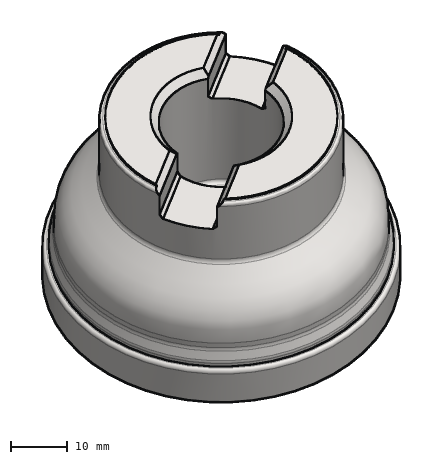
import cadquery as cq
import math

base_radius = 31.5
total_height = 40.0

base_height = 8.2
base_top_round = 0.75
base_bottom_round = 0.6
through_hole_diameter = 10.5

skirt_radius = 30.4
skirt_line_height = 8.95
skirt_cone_bottom = 9.5
skirt_cone_top = 11.2
band_radius = 29.5
band_bottom = 12.0
band_top = 13.1
dome_waist_radius = 29.25
dome_waist_height = 16.45
dome_shoulder_radius = 27.9
dome_shoulder_height = 19.15
neck_radius = 43.0 / 2
neck_blend_bottom = 25.1
neck_blend_top = 26.0
dome_top_angle = math.radians(45)
rim_round = 0.6
rim_ledge_radius = 20.4
rim_step = 0.25

bore_radius = 22.0 / 2
bore_floor = 12.6
bore_floor_round = 0.75
bore_chamfer = 1.45

slot_width = 10.45
slot_floor = 33.5
slot_floor_chamfer = 0.7
slot_chamfer = 1.15


def make_base():
    disc = cq.Workplane("XY").circle(base_radius).extrude(base_height)
    disc = disc.faces(">Z").edges().fillet(base_top_round)
    disc = disc.faces("<Z").edges().fillet(base_bottom_round)
    return disc.faces("<Z").workplane().hole(through_hole_diameter)


def make_housing_blank():
    lower_blend = skirt_cone_bottom - skirt_line_height
    upper_blend = band_bottom - skirt_cone_top
    cone_height = skirt_cone_top - skirt_cone_bottom
    slope = (skirt_radius - band_radius) / (cone_height + (lower_blend + upper_blend) / 2)
    cone_bottom_radius = skirt_radius - lower_blend * slope / 2
    cone_top_radius = band_radius + upper_blend * slope / 2
    cone_angle = math.atan(slope)

    neck_blend_radius = (neck_blend_top - neck_blend_bottom) / math.sin(dome_top_angle)
    dome_top_radius = neck_radius + neck_blend_radius * (1 - math.cos(dome_top_angle))

    ledge_height = total_height - rim_step
    outline = (
        cq.Workplane("XZ")
        .moveTo(0, base_height)
        .lineTo(skirt_radius, base_height)
        .lineTo(skirt_radius, skirt_line_height)
        .radiusArc((cone_bottom_radius, skirt_cone_bottom), -lower_blend / math.sin(cone_angle))
        .lineTo(cone_top_radius, skirt_cone_top)
        .radiusArc((band_radius, band_bottom), upper_blend / math.sin(cone_angle))
        .lineTo(band_radius, band_top)
        .spline(
            [
                (dome_waist_radius, dome_waist_height),
                (dome_shoulder_radius, dome_shoulder_height),
                (dome_top_radius, neck_blend_bottom),
            ],
            tangents=[(0, 1), (-math.sin(dome_top_angle), math.cos(dome_top_angle))],
            includeCurrent=True,
        )
        .radiusArc((neck_radius, neck_blend_top), neck_blend_radius)
        .lineTo(neck_radius, ledge_height - rim_round)
        .radiusArc((neck_radius - rim_round, ledge_height), -rim_round)
        .lineTo(rim_ledge_radius, ledge_height)
        .lineTo(rim_ledge_radius, total_height)
        .lineTo(0, total_height)
        .close()
    )
    return outline.revolve(360, (0, 0, 0), (0, 1, 0))


def make_bore():
    outline = (
        cq.Workplane("XZ")
        .moveTo(0, bore_floor)
        .lineTo(bore_radius - bore_floor_round, bore_floor)
        .radiusArc((bore_radius, bore_floor + bore_floor_round), -bore_floor_round)
        .lineTo(bore_radius, total_height - bore_chamfer)
        .lineTo(bore_radius + bore_chamfer, total_height)
        .lineTo(0, total_height)
        .close()
    )
    return outline.revolve(360, (0, 0, 0), (0, 1, 0))


def make_slot():
    half_width = slot_width / 2
    right_side = [
        (half_width - slot_floor_chamfer, slot_floor),
        (half_width, slot_floor + slot_floor_chamfer),
        (half_width, total_height - slot_chamfer),
        (half_width + slot_chamfer, total_height),
    ]
    left_side = [(-x, z) for x, z in reversed(right_side)]
    return cq.Workplane("XZ").polyline(right_side + left_side).close().extrude(base_radius, both=True)


def make_housing():
    through_hole = cq.Workplane("XY").circle(through_hole_diameter / 2).extrude(total_height)
    return make_housing_blank().cut(make_bore()).cut(make_slot()).cut(through_hole)


base = make_base()
housing = make_housing()

result = cq.Compound.makeCompound([base.val(), housing.val()])